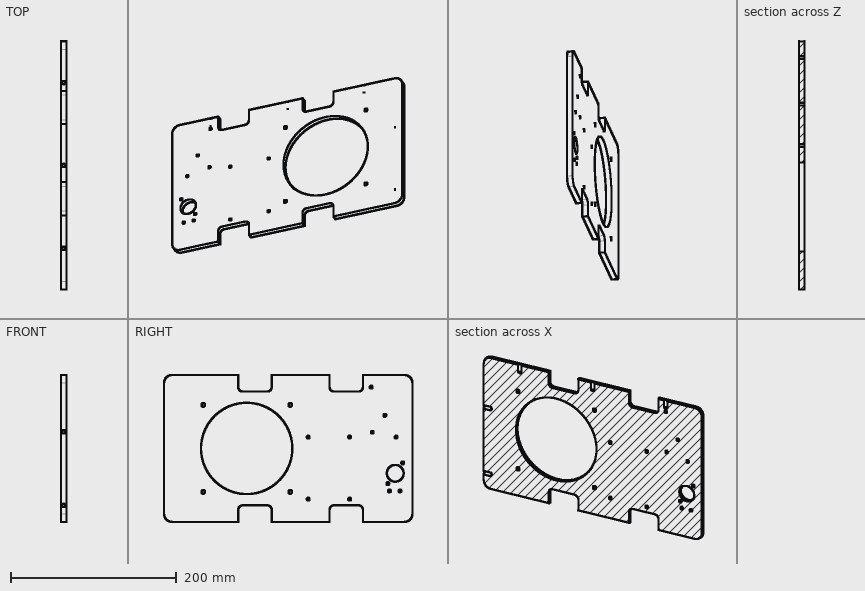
import cadquery as cq
import math

THICKNESS = 7.0
LENGTH = 300.0
HEIGHT = 177.65
CORNER_RADIUS = 10.0

NOTCH_LENGTH = 40.0
NOTCH_DEPTH = 20.0
NOTCH_RADIUS = 5.0
NOTCH_CENTRES_Y = (70.0, -40.15)

OPENING_DIAMETER = 110.0
OPENING_Y = -50.15
OPENING_MOUNT_SPACING = 105.0
OPENING_MOUNT_DIAMETER = 4.0

BORE_DIAMETER = 20.0
BORE_Y = 129.1
BORE_Z = -30.0
BORE_SCREW_OFFSET_Y = 9.0
BORE_SCREW_OFFSET_Z = 12.5
LOWER_PAIR_Y = 128.5
LOWER_PAIR_Z = -51.2
LOWER_PAIR_SPACING = 12.7

BOARD_Y = 49.1
BOARD_Z = -23.75
BOARD_SPACING_Y = 50.0
BOARD_SPACING_Z = 75.0

SINGLE_HOLES = (
    (100.1, 73.9),
    (116.6, 39.9),
    (101.4, 19.55),
    (130.2, 13.7),
)
SCREW_DIAMETER = 3.0

EDGE_HOLE_DIAMETER = 4.2
EDGE_HOLE_DEPTH = 10.0
DRILL_POINT_ANGLE = 118.0
TOP_EDGE_HOLES_Y = (-LENGTH / 3, 0.0, LENGTH / 3)
END_EDGE_HOLES_Z = (NOTCH_DEPTH - HEIGHT / 2, NOTCH_DEPTH)


def make_plate():
    """Rectangular plate with rounded corners."""
    return cq.Workplane("XY").box(THICKNESS, LENGTH, HEIGHT).edges("|X").fillet(CORNER_RADIUS)


def make_notches():
    """Cutters for the edge notches, rounded at their inner corners only."""
    cutters = cq.Workplane("XY")
    for y in NOTCH_CENTRES_Y:
        for side, inner_edges in ((1, "|X and <Z"), (-1, "|X and >Z")):
            notch = (
                cq.Workplane("XY")
                .box(THICKNESS, NOTCH_LENGTH, 2 * NOTCH_DEPTH)
                .edges(inner_edges)
                .fillet(NOTCH_RADIUS)
                .translate((0, y, side * HEIGHT / 2))
            )
            cutters = cutters.add(notch)
    return cutters.combine()


def corner_points(centre_y, centre_z, spacing_y, spacing_z):
    """The four corners of a rectangle, as (Y, Z)."""
    return [
        (centre_y + sign_y * spacing_y / 2, centre_z + sign_z * spacing_z / 2)
        for sign_y in (-1, 1)
        for sign_z in (-1, 1)
    ]


def make_through_holes(points, diameter):
    """Cylinders along X through the whole thickness, at (Y, Z) points."""
    left_face = cq.Workplane("YZ", origin=(-THICKNESS / 2, 0, 0))
    return left_face.pushPoints(points).circle(diameter / 2).extrude(THICKNESS)


def screw_points():
    """Centres of all the small screw holes, as (Y, Z)."""
    bore_pair = [
        (BORE_Y + sign * BORE_SCREW_OFFSET_Y, BORE_Z + sign * BORE_SCREW_OFFSET_Z) for sign in (-1, 1)
    ]
    lower_pair = [(LOWER_PAIR_Y + sign * LOWER_PAIR_SPACING / 2, LOWER_PAIR_Z) for sign in (-1, 1)]
    board = corner_points(BOARD_Y, BOARD_Z, BOARD_SPACING_Y, BOARD_SPACING_Z)
    return bore_pair + lower_pair + board + list(SINGLE_HOLES)


def make_edge_hole(position, direction):
    """Blind hole with a conical drill point, from position along direction."""
    radius = EDGE_HOLE_DIAMETER / 2
    point_length = radius / math.tan(math.radians(DRILL_POINT_ANGLE / 2))
    start = cq.Vector(position)
    axis = cq.Vector(direction)
    shaft = cq.Solid.makeCylinder(radius, EDGE_HOLE_DEPTH, start, axis)
    point = cq.Solid.makeCone(radius, 0, point_length, start + axis * EDGE_HOLE_DEPTH, axis)
    return cq.Workplane(shaft.fuse(point))


def drill_edges(plate):
    """Drill the blind holes into the +Z and -Y edges."""
    for y in TOP_EDGE_HOLES_Y:
        plate = plate.cut(make_edge_hole((0, y, HEIGHT / 2), (0, 0, -1)))
    for z in END_EDGE_HOLES_Z:
        plate = plate.cut(make_edge_hole((0, -LENGTH / 2, z), (0, 1, 0)))
    return plate


opening_mounts = corner_points(OPENING_Y, 0, OPENING_MOUNT_SPACING, OPENING_MOUNT_SPACING)

result = make_plate().cut(make_notches())
result = result.cut(make_through_holes([(OPENING_Y, 0)], OPENING_DIAMETER))
result = result.cut(make_through_holes(opening_mounts, OPENING_MOUNT_DIAMETER))
result = result.cut(make_through_holes([(BORE_Y, BORE_Z)], BORE_DIAMETER))
result = result.cut(make_through_holes(screw_points(), SCREW_DIAMETER))
result = drill_edges(result)